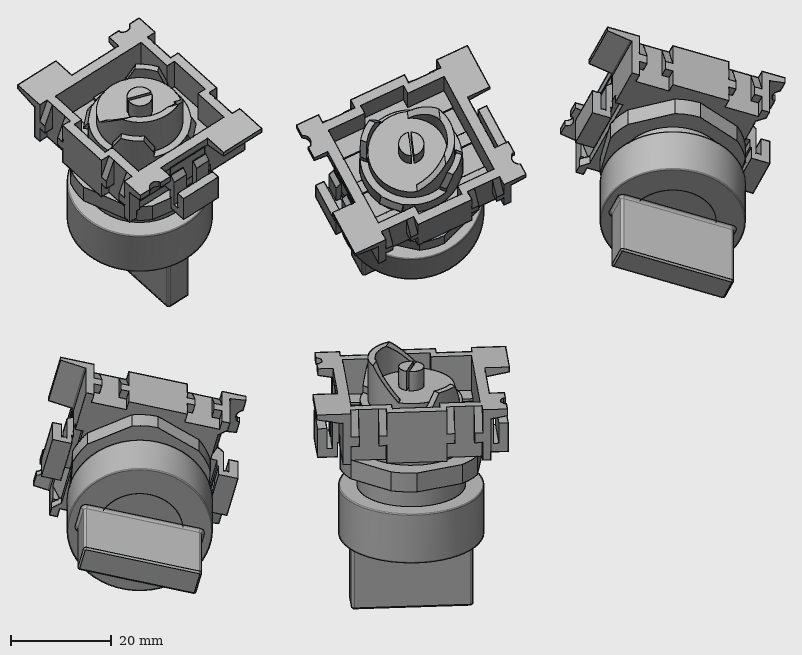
import cadquery as cq
import math

BEZEL_BOTTOM = 15.1
BEZEL_TOP = 25.8
NUT_BOTTOM = 30.7
NUT_TOP = 34.85
HOUSING_BOTTOM = 37.35
NECK_TOP = 44.3
ROTOR_DISC_TOP = 47.3
HOUSING_TOP = 48.35
TOTAL_HEIGHT = 53.5

MOUNT_ANGLE = -20.0
CAM_ANGLE = -40.0

KNOB_LENGTH = 24.2
KNOB_WIDTH = 5.4
KNOB_CORNER_RADIUS = 0.55
KNOB_EDGE_CHAMFER = 0.4
KNOB_ROOT_FILLET = 0.6

BEZEL_RADIUS = 14.45
BEZEL_FILLET = 0.2
THREAD_RADIUS = 10.8
NECK_RADIUS = 10.15
ROTOR_RADIUS = 8.6
TAB_INNER_RADIUS = 8.9
TAB_TOP = 49.6
TAB_SHOULDER = 45.75
TAB_BASE_WIDTH = 8.45
TAB_TOP_WIDTH = 4.6
TAB_ANGLE = 111.5
LUG_ANGLE = 21.0
LUG_WIDTH = 4.8
LUG_TOP_REACH = 10.05
LUG_REACH = 10.95
LUG_BOTTOM = 42.55

NUT_ACROSS_FLATS = 27.4
NUT_CORNER_RADIUS = 14.55

CAM_INNER_RADIUS = 7.15
CAM_SLOPE_START = 0.2
CAM_SLOPE_END = 6.2
PIN_RADIUS = 2.5
PIN_TOP = 51.45
PIN_SLOT_WIDTH = 0.55

RIM_HALF_LENGTH = 15.05
WALL_HALF_LENGTH = 14.7
BODY_HALF_WIDTH = 14.9
CAVITY_HALF_LENGTH = 12.85
CAVITY_HALF_WIDTH = 11.1
CAVITY_BAY_HALF_LENGTH = 4.75
CAVITY_BAY_HALF_WIDTH = 12.95
SIDE_NOTCH_BACK = 13.0
HOUSING_BORE_RADIUS = 10.3

FLOOR_TOP = 40.75
FLOOR_RECESS_DEPTH = 0.55
FLOOR_RECESS_START = 1.3
FLOOR_RECESS_END = 7.05

NOTCH_OUTER_START = 6.0
NOTCH_INNER_START = 7.55
NOTCH_INNER_END = 11.5
NOTCH_OUTER_END = 13.1
NOTCH_RAMP_BOTTOM = 43.35
NOTCH_FOOT_TOP = 41.2

RIM_BOTTOM = 46.35
LONG_EAR_REACH = 19.95
LONG_EAR_TIP_BOTTOM = 47.3
LONG_EAR_START = 5.05
SHORT_EAR_REACH = 18.05
SHORT_EAR_START = 7.05
EAR_NOTCH_START = 9.7
EAR_NOTCH_END = 12.4
EAR_NOTCH_DEPTH = 1.05
EAR_NOTCH_STEP = 0.45

CLIP_HALF_WIDTH = 4.5
CLIP_PAD_FACE = 14.85
CLIP_BOTTOM = 34.3
CLIP_REACH = 19.0
CLIP_PLATE_INNER = 17.1
CLIP_PLATE_TOP = 40.55
CLIP_SLOT_BOTTOM = 36.15
PRONG_REACH = 16.05
PRONG_TOP = 44.1
PRONG_SHOULDER = 42.9
PRONG_GAP = 2.55
POCKET_END = 12.3
POCKET_TOP = 44.15
POCKET_BOTTOM = 39.4
RELIEF_DEPTH = 1.6
RELIEF_CHAMFERED_END = 13.15
RELIEF_SQUARE_END = 6.0


def cylinder(radius, bottom, top):
    return cq.Workplane("XY").workplane(offset=bottom).circle(radius).extrude(top - bottom)


def block(u_start, u_end, v_start, v_end, bottom, top):
    size = (u_end - u_start, v_end - v_start, top - bottom)
    return cq.Workplane("XY").box(*size, centered=False).translate((u_start, v_start, bottom))


def prism_along_v(profile, v_start, v_end):
    """Extrude a (u, z) outline from v_start to v_end."""
    prism = cq.Workplane("XZ").polyline(profile).close().extrude(v_start - v_end)
    return prism.translate((0, v_start, 0))


def turned(shape, angle):
    return shape.rotate((0, 0, 0), (0, 0, 1), angle)


def both_ends(shape):
    """The shape and its copy turned half a turn about Z."""
    return [shape, turned(shape, 180)]


def add_root_fillet(knob):
    """Flare the top of the knob with a concave fillet, formed against a plate that is then removed."""
    plate = cylinder(BEZEL_RADIUS, BEZEL_BOTTOM, BEZEL_TOP)
    tolerance = 0.05
    root_edges = cq.selectors.BoxSelector(
        (-KNOB_LENGTH, -KNOB_WIDTH, BEZEL_BOTTOM - tolerance),
        (KNOB_LENGTH, KNOB_WIDTH, BEZEL_BOTTOM + tolerance),
    )
    return knob.union(plate).edges(root_edges).fillet(KNOB_ROOT_FILLET).cut(plate)


def make_knob():
    knob = cq.Workplane("XY").rect(KNOB_LENGTH, KNOB_WIDTH).extrude(BEZEL_BOTTOM)
    knob = knob.edges("|Z").fillet(KNOB_CORNER_RADIUS)
    knob = knob.faces("<Z").edges().chamfer(KNOB_EDGE_CHAMFER)
    return turned(add_root_fillet(knob), MOUNT_ANGLE)


def make_tab():
    """A piece of ring with sloping ends, standing on the neck at angle zero."""
    base = TAB_BASE_WIDTH / 2
    tip = TAB_TOP_WIDTH / 2
    profile = [
        (-base, NECK_TOP), (base, NECK_TOP), (base, TAB_SHOULDER),
        (tip, TAB_TOP), (-tip, TAB_TOP), (-base, TAB_SHOULDER),
    ]
    wedge = cq.Workplane("YZ").polyline(profile).close().extrude(NECK_RADIUS)
    ring = cylinder(NECK_RADIUS, NECK_TOP, TAB_TOP).cut(cylinder(TAB_INNER_RADIUS, NECK_TOP, TAB_TOP))
    return ring.intersect(wedge)


def make_lug():
    """A wedge on the outside of the neck at angle zero, with a steep outer face."""
    profile = [
        (TAB_INNER_RADIUS, LUG_BOTTOM), (LUG_REACH, LUG_BOTTOM),
        (LUG_TOP_REACH, NECK_TOP), (TAB_INNER_RADIUS, NECK_TOP),
    ]
    return prism_along_v(profile, -LUG_WIDTH / 2, LUG_WIDTH / 2)


def make_bushing():
    bezel = cylinder(BEZEL_RADIUS, BEZEL_BOTTOM, BEZEL_TOP).edges().fillet(BEZEL_FILLET)
    bushing = bezel.union(cylinder(THREAD_RADIUS, BEZEL_TOP, HOUSING_BOTTOM))
    bushing = bushing.union(cylinder(NECK_RADIUS, HOUSING_BOTTOM, NECK_TOP))
    for lug in both_ends(turned(make_lug(), LUG_ANGLE)):
        bushing = bushing.union(lug)
    bushing = bushing.cut(cylinder(ROTOR_RADIUS, BEZEL_BOTTOM, NECK_TOP))
    for tab in both_ends(turned(make_tab(), TAB_ANGLE)):
        bushing = bushing.union(tab)
    return bushing


def make_nut():
    thickness = NUT_TOP - NUT_BOTTOM
    corner_diameter = NUT_ACROSS_FLATS / math.cos(math.radians(30))
    hexagon = cq.Workplane("XY").workplane(offset=NUT_BOTTOM).polygon(6, corner_diameter).extrude(thickness)
    nut = hexagon.intersect(cylinder(NUT_CORNER_RADIUS, NUT_BOTTOM, NUT_TOP))
    return nut.cut(cylinder(THREAD_RADIUS, NUT_BOTTOM, NUT_TOP))


def make_rotor():
    disc = cylinder(ROTOR_RADIUS, BEZEL_BOTTOM, ROTOR_DISC_TOP)

    cam_ring = cylinder(ROTOR_RADIUS, ROTOR_DISC_TOP, TOTAL_HEIGHT)
    cam_ring = cam_ring.cut(cylinder(CAM_INNER_RADIUS, ROTOR_DISC_TOP, TOTAL_HEIGHT))
    cam_profile = [
        (CAM_SLOPE_START, ROTOR_DISC_TOP), (ROTOR_RADIUS, ROTOR_DISC_TOP),
        (ROTOR_RADIUS, TOTAL_HEIGHT), (CAM_SLOPE_END, TOTAL_HEIGHT),
    ]
    cam = cam_ring.intersect(prism_along_v(cam_profile, -ROTOR_RADIUS, ROTOR_RADIUS))

    half_slot = PIN_SLOT_WIDTH / 2
    pin = cylinder(PIN_RADIUS, ROTOR_DISC_TOP, PIN_TOP)
    pin = pin.cut(block(-half_slot, half_slot, -PIN_RADIUS, PIN_RADIUS, ROTOR_DISC_TOP, PIN_TOP))

    return turned(disc.union(cam).union(pin), CAM_ANGLE)


def make_housing_shell():
    walls = block(
        -WALL_HALF_LENGTH, WALL_HALF_LENGTH, -BODY_HALF_WIDTH, BODY_HALF_WIDTH, HOUSING_BOTTOM, HOUSING_TOP
    )
    rim = block(
        -RIM_HALF_LENGTH, RIM_HALF_LENGTH, -BODY_HALF_WIDTH, BODY_HALF_WIDTH, RIM_BOTTOM, HOUSING_TOP
    )
    cavity = block(
        -CAVITY_HALF_LENGTH, CAVITY_HALF_LENGTH, -CAVITY_HALF_WIDTH, CAVITY_HALF_WIDTH, FLOOR_TOP, HOUSING_TOP
    )
    bay = block(
        -CAVITY_BAY_HALF_LENGTH, CAVITY_BAY_HALF_LENGTH, -CAVITY_BAY_HALF_WIDTH, CAVITY_BAY_HALF_WIDTH,
        FLOOR_TOP, HOUSING_TOP,
    )
    return walls.union(rim).cut(cavity).cut(bay)


def make_floor_recesses():
    """The two shallow recesses of the floor beside the +u wall."""
    bottom = FLOOR_TOP - FLOOR_RECESS_DEPTH
    recess = block(0, CAVITY_HALF_LENGTH, -FLOOR_RECESS_END, -FLOOR_RECESS_START, bottom, FLOOR_TOP)
    return recess.union(recess.mirror("XZ"))


def make_ear(reach, v_start, v_end):
    """An ear on the +u wall with a sloping underside."""
    slope = (LONG_EAR_TIP_BOTTOM - RIM_BOTTOM) / (LONG_EAR_REACH - RIM_HALF_LENGTH)
    tip_bottom = RIM_BOTTOM + slope * (reach - RIM_HALF_LENGTH)
    profile = [
        (CAVITY_HALF_LENGTH, RIM_BOTTOM), (RIM_HALF_LENGTH, RIM_BOTTOM),
        (reach, tip_bottom), (reach, HOUSING_TOP), (CAVITY_HALF_LENGTH, HOUSING_TOP),
    ]
    return prism_along_v(profile, v_start, v_end)


def make_ear_notch():
    """The round notch in the tip of the short ear, with a small step at one side."""
    tip = SHORT_EAR_REACH
    middle = -(EAR_NOTCH_START + EAR_NOTCH_END) / 2
    return (
        cq.Workplane("XY").workplane(offset=RIM_BOTTOM)
        .moveTo(tip, -EAR_NOTCH_END)
        .threePointArc((tip - EAR_NOTCH_DEPTH, middle), (tip - EAR_NOTCH_STEP, -EAR_NOTCH_START))
        .lineTo(tip, -EAR_NOTCH_START)
        .close()
        .extrude(HOUSING_TOP - RIM_BOTTOM)
    )


def make_side_notch():
    """One notch in the +v wall: a slot with ramps above and square feet below, at positive u."""
    wall = (SIDE_NOTCH_BACK, BODY_HALF_WIDTH)
    slot = block(NOTCH_INNER_START, NOTCH_INNER_END, *wall, HOUSING_BOTTOM, HOUSING_TOP)
    feet = block(NOTCH_OUTER_START, NOTCH_OUTER_END, *wall, HOUSING_BOTTOM, NOTCH_FOOT_TOP)
    ramp_profile = [
        (SIDE_NOTCH_BACK, HOUSING_TOP), (BODY_HALF_WIDTH, NOTCH_RAMP_BOTTOM), (BODY_HALF_WIDTH, HOUSING_TOP),
    ]
    ramps = cq.Workplane("YZ").polyline(ramp_profile).close().extrude(NOTCH_OUTER_END - NOTCH_OUTER_START)
    return slot.union(feet).union(ramps.translate((NOTCH_OUTER_START, 0, 0)))


def make_clip():
    """A clip on the +u wall: an outer plate, a foot, two bevelled prongs and a pad against the wall."""
    profile = [
        (RIM_HALF_LENGTH, CLIP_BOTTOM), (CLIP_REACH, CLIP_BOTTOM), (CLIP_REACH, CLIP_PLATE_TOP),
        (CLIP_PLATE_INNER, CLIP_PLATE_TOP), (CLIP_PLATE_INNER, CLIP_SLOT_BOTTOM),
        (PRONG_REACH, CLIP_SLOT_BOTTOM), (PRONG_REACH, PRONG_SHOULDER), (RIM_HALF_LENGTH, PRONG_TOP),
        (CLIP_PAD_FACE, PRONG_TOP), (CLIP_PAD_FACE, RIM_BOTTOM), (WALL_HALF_LENGTH, RIM_BOTTOM),
        (WALL_HALF_LENGTH, HOUSING_BOTTOM), (RIM_HALF_LENGTH, HOUSING_BOTTOM),
    ]
    clip = prism_along_v(profile, -CLIP_HALF_WIDTH, CLIP_HALF_WIDTH)
    prong_gap = block(
        CLIP_PAD_FACE, PRONG_REACH, -PRONG_GAP / 2, PRONG_GAP / 2, CLIP_SLOT_BOTTOM, PRONG_TOP
    )
    return clip.cut(prong_gap)


def make_wall_pocket():
    """The opening in the +u wall: a pocket with a sloping back above a relief chamfered at one end."""
    back = WALL_HALF_LENGTH - RELIEF_DEPTH
    profile = [(WALL_HALF_LENGTH, POCKET_TOP), (back, POCKET_BOTTOM), (WALL_HALF_LENGTH, POCKET_BOTTOM)]
    pocket = prism_along_v(profile, -POCKET_END, -CLIP_HALF_WIDTH)
    relief_outline = [
        (WALL_HALF_LENGTH, -RELIEF_CHAMFERED_END), (back, -RELIEF_CHAMFERED_END + RELIEF_DEPTH),
        (back, RELIEF_SQUARE_END), (WALL_HALF_LENGTH, RELIEF_SQUARE_END),
    ]
    relief = cq.Workplane("XY").workplane(offset=HOUSING_BOTTOM).polyline(relief_outline).close()
    return pocket.union(relief.extrude(POCKET_BOTTOM - HOUSING_BOTTOM))


def make_housing():
    long_ear = make_ear(LONG_EAR_REACH, LONG_EAR_START, BODY_HALF_WIDTH)
    short_ear = make_ear(SHORT_EAR_REACH, -BODY_HALF_WIDTH, -SHORT_EAR_START).cut(make_ear_notch())
    side_notch = make_side_notch()

    housing = make_housing_shell()
    for opening in (make_floor_recesses(), make_wall_pocket()):
        for copy in both_ends(opening):
            housing = housing.cut(copy)
    for addition in (long_ear, short_ear, make_clip()):
        for copy in both_ends(addition):
            housing = housing.union(copy)
    for notch in (side_notch, side_notch.mirror("YZ")):
        for copy in both_ends(notch):
            housing = housing.cut(copy)
    housing = housing.cut(cylinder(HOUSING_BORE_RADIUS, HOUSING_BOTTOM, HOUSING_TOP))
    return turned(housing, MOUNT_ANGLE)


knob = make_knob()
bushing = make_bushing()
nut = make_nut()
rotor = make_rotor()
housing = make_housing()

bodies = (knob, bushing, nut, rotor, housing)
result = cq.Compound.makeCompound([body.solids().val() for body in bodies])